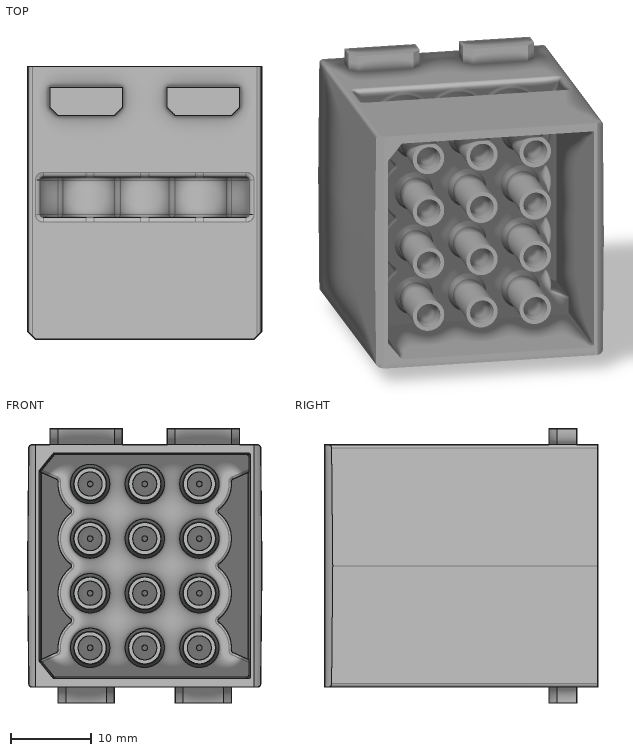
import cadquery as cq
import math


WIDTH = 29.2
EDGE_WIDTH = 28.9
DEPTH = 34.0
HEIGHT = 30.2
LONG_EDGE_RADIUS = 0.45
FRONT_CHAMFER = 1.0

TAB_HEIGHT = 2.0
TAB_LENGTH = 3.5
TAB_BACK_GAP = 2.6
TAB_CHAMFER = 1.0
TOP_TAB_WIDTH = 9.05
BOTTOM_TAB_WIDTH = 7.05
TAB_CENTRE_X = 7.3

CAVITY_HALF_WIDTH = 13.15
CAVITY_HALF_HEIGHT = 14.05
CAVITY_FLOOR = 14.0
CAVITY_DRAFT = 0.8
CAVITY_CORNER_RADIUS = 0.25
KEY_CORNER_X = 1.8
KEY_CORNER_Z = 2.2

PITCH = 6.8
COLUMNS = 3
ROWS = 4
TUBE_FRONT = 5.3
TUBE_RADIUS = 2.0
TUBE_BORE_RADIUS = 1.5
TUBE_ROOT = 0.2
COLLAR_FRONT_RADIUS = 2.05
COLLAR_BASE_RADIUS = 2.45
COLLAR_HEIGHT = 1.0
PIN_HOLE_RADIUS = 0.35
PIN_HOLE_DEPTH = 2.0

SLEEVE_RADIUS = 4.0

POCKET_DEPTH = 6.75
POCKET_END_OFFSET = 0.5
POCKET_END_ANGLE = 24.0
POCKET_CORNER_RADIUS = 0.3
POCKET_RIM_RADIUS = 0.3

SLOT_HALF_WIDTH = 13.05
SLOT_FRONT = 15.2
SLOT_BACK = 20.2
SLOT_DEPTH = 3.25
SLOT_END_RADIUS = 3.2
SLOT_SLEEVE_RADIUS = 3.95
SLOT_VALLEY_RADIUS = 0.5
SLOT_FLOOR_FILLET = 0.38
SLOT_RIM_RADIUS = 0.6

EDGE_TOLERANCE = 0.1
CLEARANCE = 2.0

half_height = HEIGHT / 2
columns_x = [(i - (COLUMNS - 1) / 2) * PITCH for i in range(COLUMNS)]
rows_z = [(j - (ROWS - 1) / 2) * PITCH for j in range(ROWS)]


def at_depth(y):
    """XZ workplane at the given Y; positive extrusion runs toward +Y and local Y is -Z."""
    return cq.Workplane(cq.Plane(origin=(0, y, 0), xDir=(1, 0, 0), normal=(0, 1, 0)))


def cylinder(x, z, radius, y_start, y_end):
    """Cylinder along Y centred on (x, z)."""
    return at_depth(y_start).center(x, -z).circle(radius).extrude(y_end - y_start)


def cut_sleeves(cutter, points, radius):
    """Leave out of a cutter the round sleeve around each contact at the given (x, z) points."""
    for x, z in points:
        cutter = cutter.cut(cylinder(x, z, radius, 0, DEPTH))
    return cutter


def make_housing():
    """Solid block whose sides taper from a ridge at mid height."""
    outline = [
        (-EDGE_WIDTH / 2, -half_height),
        (EDGE_WIDTH / 2, -half_height),
        (WIDTH / 2, 0),
        (EDGE_WIDTH / 2, half_height),
        (-EDGE_WIDTH / 2, half_height),
        (-WIDTH / 2, 0),
    ]
    block = at_depth(0).polyline(outline).close().extrude(DEPTH)
    block = block.edges("|Y").edges("<Z or >Z").fillet(LONG_EDGE_RADIUS)
    half_width = WIDTH / 2
    plan_outline = [
        (-half_width + FRONT_CHAMFER, 0),
        (half_width - FRONT_CHAMFER, 0),
        (half_width, FRONT_CHAMFER),
        (half_width, DEPTH),
        (-half_width, DEPTH),
        (-half_width, FRONT_CHAMFER),
    ]
    plan = cq.Workplane("XY").polyline(plan_outline).close().extrude(half_height, both=True)
    return block.intersect(plan)


def make_tabs(width, z_bottom):
    """Pair of tabs with chamfered front corners."""
    centre_y = DEPTH - TAB_BACK_GAP - TAB_LENGTH / 2
    return (
        cq.Workplane("XY", origin=(0, centre_y, z_bottom))
        .pushPoints([(-TAB_CENTRE_X, 0), (TAB_CENTRE_X, 0)])
        .rect(width, TAB_LENGTH)
        .extrude(TAB_HEIGHT)
        .faces("<Y")
        .edges("|Z")
        .chamfer(TAB_CHAMFER)
    )


def make_cavity(depth):
    """Drafted cavity with its two -X corners cut off."""
    outline = [
        (-CAVITY_HALF_WIDTH, -CAVITY_HALF_HEIGHT + KEY_CORNER_Z),
        (-CAVITY_HALF_WIDTH + KEY_CORNER_X, -CAVITY_HALF_HEIGHT),
        (CAVITY_HALF_WIDTH, -CAVITY_HALF_HEIGHT),
        (CAVITY_HALF_WIDTH, CAVITY_HALF_HEIGHT),
        (-CAVITY_HALF_WIDTH + KEY_CORNER_X, CAVITY_HALF_HEIGHT),
        (-CAVITY_HALF_WIDTH, CAVITY_HALF_HEIGHT - KEY_CORNER_Z),
    ]
    cavity = at_depth(0).polyline(outline).close().extrude(depth, taper=CAVITY_DRAFT)
    plus_x_corners = cq.selectors.BoxSelector(
        (CAVITY_HALF_WIDTH - CLEARANCE, 0, -half_height),
        (CAVITY_HALF_WIDTH + CLEARANCE, depth, half_height),
    )
    corner_edges = cavity.edges("not (<Y or >Y)").edges(plus_x_corners)
    return corner_edges.edges("<Z or >Z").fillet(CAVITY_CORNER_RADIUS)


def make_side_pocket():
    """Pocket cutter on the +X side, scalloped by the sleeves of the outer column."""
    column_x = columns_x[-1]
    inner_x = column_x + math.sqrt(SLEEVE_RADIUS**2 - POCKET_END_OFFSET**2)
    outer_x = WIDTH / 2 + CLEARANCE
    inner_z = rows_z[-1] + POCKET_END_OFFSET
    outer_z = inner_z + (outer_x - inner_x) * math.tan(math.radians(POCKET_END_ANGLE))
    outline = [
        (column_x, -inner_z),
        (inner_x, -inner_z),
        (outer_x, -outer_z),
        (outer_x, outer_z),
        (inner_x, inner_z),
        (column_x, inner_z),
    ]
    pocket = at_depth(CAVITY_FLOOR).polyline(outline).close().extrude(POCKET_DEPTH)
    pocket = cut_sleeves(pocket, [(column_x, z) for z in rows_z], SLEEVE_RADIUS)
    return pocket.edges("|Y").edges("not >X").fillet(POCKET_CORNER_RADIUS)


def make_core():
    """Floor layer of the cavity, with a scalloped pocket on each side."""
    core = at_depth(CAVITY_FLOOR).rect(WIDTH, HEIGHT).extrude(POCKET_DEPTH)
    pocket = make_side_pocket()
    core = core.cut(pocket).cut(pocket.mirror("YZ"))
    pocket_rims = core.faces("<Y").edges("not (<X or >X or <Z or >Z)")
    return pocket_rims.fillet(POCKET_RIM_RADIUS)


def make_slot():
    """Slot cutter for the top face, scalloped by the sleeves of the top row."""
    centre_y = (SLOT_FRONT + SLOT_BACK) / 2
    slot = (
        cq.Workplane("XY", origin=(0, centre_y, half_height - SLOT_DEPTH))
        .rect(2 * SLOT_HALF_WIDTH, SLOT_BACK - SLOT_FRONT)
        .extrude(SLOT_DEPTH + CLEARANCE)
        .edges("|Y and <Z")
        .fillet(SLOT_END_RADIUS)
    )
    slot = cut_sleeves(slot, [(x, rows_z[-1]) for x in columns_x], SLOT_SLEEVE_RADIUS)
    valley_x = [PITCH * (i - COLUMNS / 2) for i in range(COLUMNS + 1)]
    valleys = cq.selectors.BoxSelector(
        (valley_x[0] - SLOT_VALLEY_RADIUS, SLOT_FRONT, half_height - SLOT_DEPTH - CLEARANCE),
        (valley_x[-1] + SLOT_VALLEY_RADIUS, SLOT_BACK, half_height - SLOT_DEPTH / 2),
    )
    slot = slot.edges("|Y").edges(valleys).fillet(SLOT_VALLEY_RADIUS)
    return slot.faces("<Y or >Y").edges("not >Z").fillet(SLOT_FLOOR_FILLET)


def round_slot_rim(body):
    """Round the edge where the slot meets the top face."""
    rim = cq.selectors.BoxSelector(
        (-SLOT_HALF_WIDTH - EDGE_TOLERANCE, SLOT_FRONT - EDGE_TOLERANCE, half_height - EDGE_TOLERANCE),
        (SLOT_HALF_WIDTH + EDGE_TOLERANCE, SLOT_BACK + EDGE_TOLERANCE, half_height + EDGE_TOLERANCE),
    )
    return body.edges(rim).fillet(SLOT_RIM_RADIUS)


def make_contact():
    """Contact tube on the Y axis, with a conical collar around its foot."""
    tube_length = CAVITY_FLOOR + TUBE_ROOT - TUBE_FRONT
    tube = at_depth(TUBE_FRONT).circle(TUBE_RADIUS).circle(TUBE_BORE_RADIUS).extrude(tube_length)
    collar_front = CAVITY_FLOOR - COLLAR_HEIGHT
    collar_profile = [
        (TUBE_BORE_RADIUS, collar_front),
        (COLLAR_FRONT_RADIUS, collar_front),
        (COLLAR_BASE_RADIUS, CAVITY_FLOOR),
        (COLLAR_BASE_RADIUS, CAVITY_FLOOR + TUBE_ROOT),
        (TUBE_BORE_RADIUS, CAVITY_FLOOR + TUBE_ROOT),
    ]
    collar = cq.Workplane("XY").polyline(collar_profile).close().revolve(360, (0, 0, 0), (0, 1, 0))
    return tube.union(collar)


body = make_housing()
body = body.union(make_tabs(TOP_TAB_WIDTH, half_height))
body = body.union(make_tabs(BOTTOM_TAB_WIDTH, -half_height - TAB_HEIGHT))
body = round_slot_rim(body.cut(make_slot()))

cavity = make_cavity(CAVITY_FLOOR + POCKET_DEPTH)
body = body.cut(cavity.cut(make_core()))

contact = make_contact()
pin_hole = cylinder(0, 0, PIN_HOLE_RADIUS, CAVITY_FLOOR, CAVITY_FLOOR + PIN_HOLE_DEPTH)
for x in columns_x:
    for z in rows_z:
        body = body.union(contact.translate((x, 0, z))).cut(pin_hole.translate((x, 0, z)))

result = body